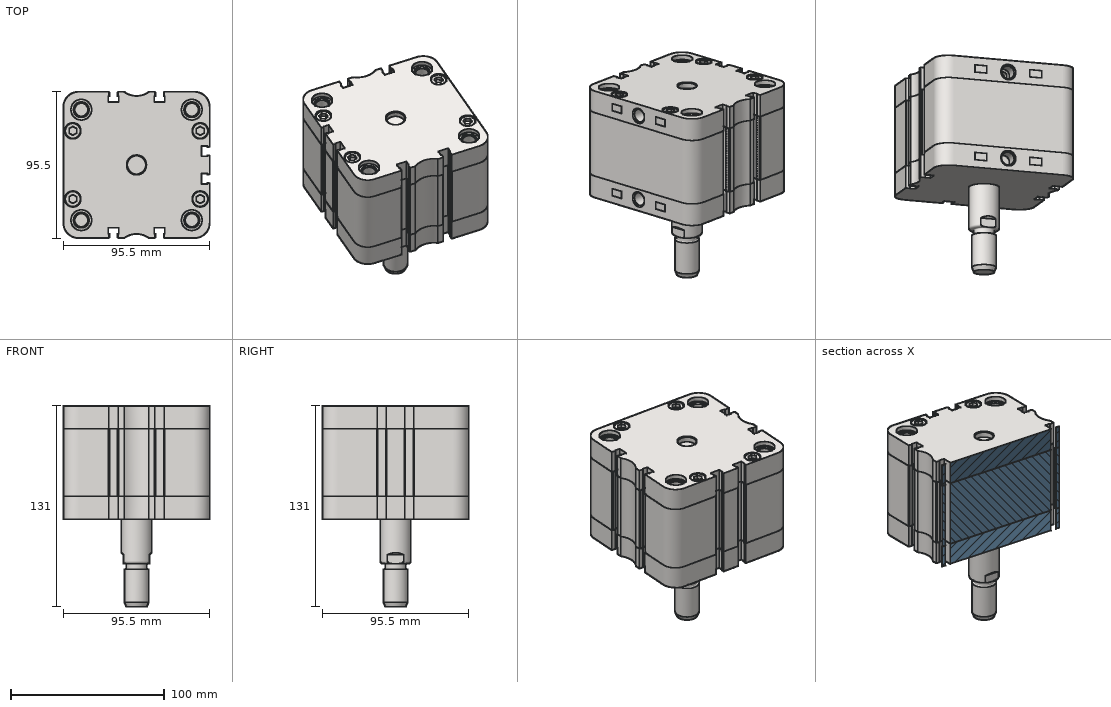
import cadquery as cq
import math


width = 95.5
corner_radius = 10.0
cover_height = 15.0
barrel_height = 44.0
barrel_bottom = cover_height
barrel_top = barrel_bottom + barrel_height
body_height = barrel_top + cover_height
half_width = width / 2

relief_half_width = 8.1
relief_depth = 2.7
relief_radius = (relief_half_width**2 + relief_depth**2) / (2 * relief_depth)

front_slot_offset = 15.0
front_slot_depth = 6.7
front_lip = 3.0
side_slot_offset = 9.0
side_slot_depth = 5.4
side_lip = 1.8
cover_slot_width = 7.0
cover_mouth_width = 6.0
barrel_slot_width = 6.6
barrel_mouth_width = 5.2
barrel_mouth_chamfer = (barrel_slot_width - barrel_mouth_width) / 2

screw_x = 41.5
screw_y = 22.2
screw_seat_diameter = 10.5
screw_head_diameter = 9.8
screw_head_sink = 0.5
screw_gap_depth = 1.5
socket_across_flats = 5.0
socket_depth = 3.0

mount_offset = 36.0
mount_seat_diameter = 13.5
mount_seat_depth = 3.0
mount_hole_diameter = 8.57
mount_hole_depth = 12.0
mount_chamfer = 0.8

centre_diameter = 12.0
centre_depth = 4.0
centre_chamfer = 0.5

port_height = 8.0
port_diameter = 8.57
port_mouth_diameter = 10.3
port_depth = 10.0
passage_diameter = 5.0
passage_length = 5.0
panel_width = 8.2
panel_height = 4.9
panel_offset = 18.9
panel_inset = 7.5
panel_depth = 0.2

rod_diameter = 20.0
rod_shoulder = 28.8
rod_end_fillet = 1.6
neck_diameter = 13.5
neck_fillet = 0.5
thread_start = 32.4
thread_diameter = 16.0
thread_chamfer_length = 3.1
rod_length = 57.0
flat_across = 17.0
flat_start = 21.6


def slot_cutter(slot_width, mouth_width, depth, lip, mouth_chamfer):
    """T-slot along Z that opens at Y = 0 and runs into +Y, over the full body height."""
    inner = slot_width / 2
    mouth = mouth_width / 2
    flare = mouth + mouth_chamfer
    outline = cq.Workplane("XY").moveTo(-flare, 0).lineTo(flare, 0)
    if mouth_chamfer > 0:
        outline = outline.lineTo(mouth, mouth_chamfer)
    outline = (
        outline.lineTo(mouth, lip)
        .lineTo(inner, lip)
        .lineTo(inner, depth)
        .lineTo(-inner, depth)
        .lineTo(-inner, lip)
        .lineTo(-mouth, lip)
    )
    if mouth_chamfer > 0:
        outline = outline.lineTo(-mouth, mouth_chamfer)
    return outline.close().extrude(body_height)


def square_block(bottom, height, slot_width, mouth_width, mouth_chamfer):
    """Rounded square slice of the body with its reliefs and T-slots."""
    block = (
        cq.Workplane("XY", origin=(0, 0, bottom))
        .rect(width, width)
        .extrude(height)
        .edges("|Z")
        .fillet(corner_radius)
    )
    relief_y = half_width - relief_depth + relief_radius
    reliefs = (
        cq.Workplane("XY")
        .pushPoints([(0, -relief_y), (0, relief_y)])
        .circle(relief_radius)
        .extrude(body_height)
    )
    block = block.cut(reliefs)

    front_slot = slot_cutter(slot_width, mouth_width, front_slot_depth, front_lip, mouth_chamfer)
    side_slot = slot_cutter(slot_width, mouth_width, side_slot_depth, side_lip, mouth_chamfer)
    for side in (-1, 1):
        front = front_slot.translate((side * front_slot_offset, -half_width, 0))
        block = block.cut(front).cut(front.mirror("XZ"))
        right = side_slot.translate((side * side_slot_offset, -half_width, 0))
        block = block.cut(right.rotate((0, 0, 0), (0, 0, 1), 90))
    return block


def port_cutter(height):
    """Air port drilled from the -X side along +X, with a countersunk mouth."""
    mouth_radius = port_mouth_diameter / 2
    radius = port_diameter / 2
    return (
        cq.Workplane("XZ")
        .moveTo(-half_width, 0)
        .lineTo(-half_width, mouth_radius)
        .lineTo(-half_width + mouth_radius - radius, radius)
        .lineTo(-half_width + port_depth, radius)
        .lineTo(-half_width + port_depth, 0)
        .close()
        .revolve(360, (0, 0, 0), (1, 0, 0))
        .translate((0, 0, height))
    )


def panel_cutter(height):
    """Pair of shallow label panels beside an air port."""
    return (
        cq.Workplane("YZ", origin=(-half_width, 0, 0))
        .pushPoints([(-panel_offset, height), (panel_offset, height)])
        .rect(panel_width, panel_height)
        .extrude(panel_depth)
    )


def mount_cutter():
    """Stepped mounting hole, with its axis on Z and its mouth on the top of the body."""
    hole_radius = mount_hole_diameter / 2
    seat_radius = mount_seat_diameter / 2
    seat = body_height - mount_seat_depth
    bottom = body_height - mount_hole_depth
    return (
        cq.Workplane("XZ")
        .moveTo(0, body_height)
        .lineTo(seat_radius, body_height)
        .lineTo(seat_radius, seat)
        .lineTo(hole_radius + mount_chamfer, seat)
        .lineTo(hole_radius, seat - mount_chamfer)
        .lineTo(hole_radius, bottom)
        .lineTo(0, bottom)
        .close()
        .revolve(360, (0, 0, 0), (0, 1, 0))
    )


def make_lower_cover():
    cover = square_block(0, cover_height, cover_slot_width, cover_mouth_width, 0)
    rod_hole = cq.Workplane("XY").circle(rod_diameter / 2).extrude(cover_height)
    return cover.cut(rod_hole).cut(port_cutter(port_height)).cut(panel_cutter(panel_inset))


def make_barrel():
    return square_block(
        barrel_bottom,
        barrel_height,
        barrel_slot_width,
        barrel_mouth_width,
        barrel_mouth_chamfer,
    )


def make_upper_cover():
    cover = square_block(barrel_top, cover_height, cover_slot_width, cover_mouth_width, 0)
    top = cq.Workplane("XY", origin=(0, 0, body_height))

    mount = mount_cutter()
    for x in (-mount_offset, mount_offset):
        for y in (-mount_offset, mount_offset):
            cover = cover.cut(mount.translate((x, y, 0)))

    screw_places = [(x, y) for x in (-screw_x, screw_x) for y in (-screw_y, screw_y)]
    gaps = (
        top.pushPoints(screw_places)
        .circle(screw_seat_diameter / 2)
        .circle(screw_head_diameter / 2)
        .extrude(-screw_gap_depth)
    )
    sinks = top.pushPoints(screw_places).circle(screw_head_diameter / 2).extrude(-screw_head_sink)
    cover = cover.cut(gaps).cut(sinks)
    corner_diameter = socket_across_flats / math.cos(math.pi / 6)
    sockets = (
        top.transformed(rotate=(0, 0, 90))
        .pushPoints([(y, x) for x, y in screw_places])
        .polygon(6, corner_diameter)
        .extrude(-socket_depth)
    )
    cover = cover.cut(sockets)

    centre_hole = top.circle(centre_diameter / 2).extrude(-centre_depth)
    centre_mouth = top.circle(centre_diameter / 2 + centre_chamfer).extrude(-centre_chamfer, taper=45)
    cover = cover.cut(centre_hole).cut(centre_mouth)

    upper_port_height = body_height - port_height
    air_passage = (
        cq.Workplane("YZ", origin=(-half_width + port_depth, 0, upper_port_height))
        .circle(passage_diameter / 2)
        .extrude(passage_length)
    )
    cover = cover.cut(port_cutter(upper_port_height)).cut(air_passage)
    return cover.cut(panel_cutter(body_height - panel_inset))


def make_rod():
    rod_radius = rod_diameter / 2
    thread_radius = thread_diameter / 2
    neck_radius = neck_diameter / 2
    rod = (
        cq.Workplane("XZ")
        .moveTo(0, cover_height)
        .lineTo(rod_radius, cover_height)
        .lineTo(rod_radius, rod_end_fillet - rod_shoulder)
        .radiusArc((rod_radius - rod_end_fillet, -rod_shoulder), rod_end_fillet)
        .lineTo(neck_radius + neck_fillet, -rod_shoulder)
        .radiusArc((neck_radius, -rod_shoulder - neck_fillet), -neck_fillet)
        .lineTo(neck_radius, -thread_start + neck_fillet)
        .radiusArc((neck_radius + neck_fillet, -thread_start), -neck_fillet)
        .lineTo(thread_radius, -thread_start)
        .lineTo(thread_radius, thread_chamfer_length - rod_length)
        .lineTo(neck_radius, -rod_length)
        .lineTo(0, -rod_length)
        .close()
        .revolve(360, (0, 0, 0), (0, 1, 0))
    )
    flat_depth = (rod_diameter - flat_across) / 2
    flat = (
        cq.Workplane("XZ")
        .moveTo(rod_radius, -flat_start)
        .lineTo(rod_radius - flat_depth, -flat_start - flat_depth)
        .lineTo(rod_radius - flat_depth, -rod_shoulder)
        .lineTo(rod_radius, -rod_shoulder)
        .close()
        .extrude(rod_radius, both=True)
    )
    return rod.cut(flat).cut(flat.mirror("YZ"))


lower_cover = make_lower_cover()
barrel = make_barrel()
upper_cover = make_upper_cover()
piston_rod = make_rod()

result = cq.Compound.makeCompound(
    [lower_cover.val(), barrel.val(), upper_cover.val(), piston_rod.val()]
)